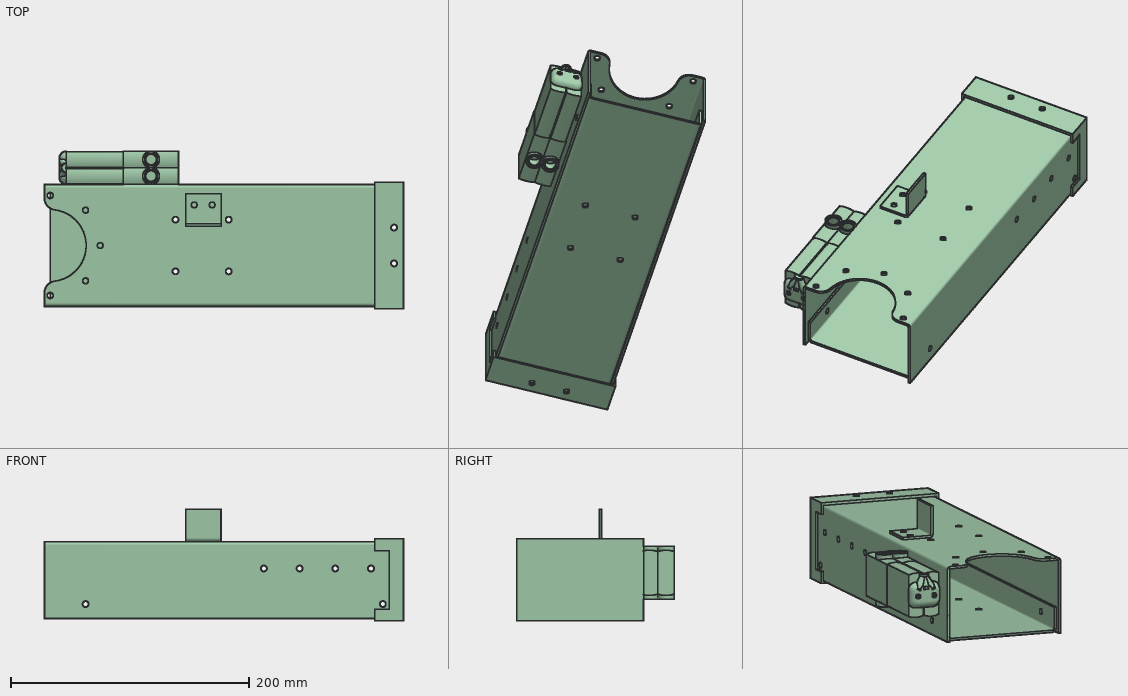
import cadquery as cq
import math


SHEET = 2.0
BEND_OUTER = 3.0
BEND_INNER = BEND_OUTER - SHEET
TRAY_BEND_OUTER = 4.0
TRAY_BEND_INNER = TRAY_BEND_OUTER - SHEET
HOLE_DIA = 4.8

TOTAL_LENGTH = 302.0
TOTAL_WIDTH = 132.5
TOTAL_HEIGHT = 94.0

CHANNEL_WIDTH = 102.7
CAP_WIDTH = CHANNEL_WIDTH + 2 * SHEET
CAP_TOP_WALL = 2.5
CAP_DEPTH = 24.5
CAP_HEIGHT = 69.2
NOTCH_DEPTH = 12.5
NOTCH_BOTTOM = 10.0
NOTCH_TOP = 59.2
CAP_HOLE_X = 293.8
CAP_HOLE_Y = 15.0

CHANNEL_LENGTH = TOTAL_LENGTH - SHEET
CHANNEL_BOTTOM = SHEET
CHANNEL_TOP = CAP_HEIGHT - CAP_TOP_WALL
MOUTH_X = 5.0
MOUTH_RADIUS = 30.2
MOUTH_LIP_RADIUS = 10.0
MOUTH_HOLE_RADIUS = 42.0
TOP_HOLE_X = (110.2, 155.0)
TOP_HOLE_Y = 21.7
SIDE_HOLE_FIRST_X = 184.5
SIDE_HOLE_PITCH = 30.0
SIDE_HOLE_COUNT = 4
SIDE_HOLE_Z = 44.0
JOINT_HOLE_X = (34.7, 284.5)
JOINT_HOLE_Z = 14.2
MOUNT_HOLE_X = 69.0
MOUNT_HOLE_Z = 30.5

TRAY_WIDTH = CHANNEL_WIDTH - 2 * SHEET
TRAY_TOP = 23.5

BRACKET_X = 118.7
BRACKET_LENGTH = 30.0
BRACKET_Y = 16.3
BRACKET_FOOT = 27.2
BRACKET_HOLE_X = (126.0, 141.0)
BRACKET_HOLE_Y = 34.0

CONNECTOR_WALL_Y = CHANNEL_WIDTH / 2
CONNECTOR_WIDTH = (TOTAL_WIDTH - CAP_WIDTH / 2 - CONNECTOR_WALL_Y) / 2
PAIR_CENTER_Y = CONNECTOR_WALL_Y + CONNECTOR_WIDTH
PLUG_GAP = 1.0
PLUG_START = 18.5
PLUG_END = 66.5
SOCKET_END = 113.0
CONNECTOR_BOTTOM = 21.5
CONNECTOR_TOP = 59.5
CROWN = 1.2
RING_X = 89.7
RING_DIA = CONNECTOR_WIDTH
RING_BOTTOM = 18.0
RING_TOP = 62.8
BORE_DIA = 9.0
BORE_DEPTH = 9.0
BORE_CHAMFER = 1.0

NOSE_START = 12.5
NOSE_BOTTOM = 29.5
NOSE_TOP = 51.5
NOSE_ROUND = 6.3
NOSE_HOLE_SPACING = 14.5
NOSE_HOLE_DIA = 4.0
NOSE_HOLE_INNER_DIA = 1.2
NOSE_HOLE_DEPTH = 1.5
NOSE_HOLE_Z = 40.5
STEM_DIA = 6.3
COLLAR_DIA = 8.2
COLLAR_BOTTOM = 56.8
COLLAR_TOP = 58.5
STEM_FORWARD = 4.0
SPLAY_FORWARD = 3.3
SPLAY_REACH = 7.0


def box(x0, x1, y0, y1, z0, z1):
    """Box between pairs of opposite faces."""
    return cq.Workplane("XY").box(x1 - x0, y1 - y0, z1 - z0, centered=False).translate((x0, y0, z0))


def vertical_holes(points):
    """Cutters along Z through the full height of the assembly."""
    return cq.Workplane("XY").pushPoints(points).circle(HOLE_DIA / 2).extrude(TOTAL_HEIGHT)


def cross_holes(points):
    """Cutters along Y through both side walls, placed at (x, z) points."""
    return cq.Workplane("XZ").pushPoints(points).circle(HOLE_DIA / 2).extrude(CAP_WIDTH / 2, both=True)


TOP_HOLES = [(x, y) for x in TOP_HOLE_X for y in (-TOP_HOLE_Y, TOP_HOLE_Y)]
CAP_HOLES = [(CAP_HOLE_X, -CAP_HOLE_Y), (CAP_HOLE_X, CAP_HOLE_Y)]
JOINT_HOLES = [(x, JOINT_HOLE_Z) for x in JOINT_HOLE_X]


def make_channel():
    """Inverted U channel with a round mouth cut into its roof."""
    half = CHANNEL_WIDTH / 2
    outer = box(0, CHANNEL_LENGTH, -half, half, CHANNEL_BOTTOM, CHANNEL_TOP)
    outer = outer.edges("|X and >Z").fillet(BEND_OUTER)
    inside = half - SHEET
    inner = box(0, CHANNEL_LENGTH, -inside, inside, CHANNEL_BOTTOM, CHANNEL_TOP - SHEET)
    channel = outer.cut(inner.edges("|X and >Z").fillet(BEND_INNER))

    lip_center_y = math.sqrt((MOUTH_RADIUS + MOUTH_LIP_RADIUS) ** 2 - (MOUTH_LIP_RADIUS - MOUTH_X) ** 2)
    lip_diagonal = MOUTH_LIP_RADIUS * math.sqrt(0.5)
    lip_middle = (MOUTH_LIP_RADIUS - lip_diagonal, lip_center_y - lip_diagonal)
    main_share = MOUTH_RADIUS / (MOUTH_RADIUS + MOUTH_LIP_RADIUS)
    tangent = (MOUTH_X + (MOUTH_LIP_RADIUS - MOUTH_X) * main_share, lip_center_y * main_share)
    mouth = (
        cq.Workplane("XY")
        .moveTo(0, -lip_center_y)
        .threePointArc((lip_middle[0], -lip_middle[1]), (tangent[0], -tangent[1]))
        .threePointArc((MOUTH_X + MOUTH_RADIUS, 0), tangent)
        .threePointArc(lip_middle, (0, lip_center_y))
        .close()
        .extrude(CAP_HEIGHT)
    )
    channel = channel.cut(mouth)

    mouth_holes = []
    for degrees in range(-90, 91, 45):
        angle = math.radians(degrees)
        mouth_holes.append(
            (MOUTH_X + MOUTH_HOLE_RADIUS * math.cos(angle), MOUTH_HOLE_RADIUS * math.sin(angle))
        )
    side_holes = [(SIDE_HOLE_FIRST_X + i * SIDE_HOLE_PITCH, SIDE_HOLE_Z) for i in range(SIDE_HOLE_COUNT)]
    channel = channel.cut(vertical_holes(TOP_HOLES + CAP_HOLES + mouth_holes))
    channel = channel.cut(cross_holes(side_holes + JOINT_HOLES))

    mount_hole = cross_holes([(MOUNT_HOLE_X, MOUNT_HOLE_Z)])
    return channel.cut(mount_hole.intersect(box(0, CHANNEL_LENGTH, 0, half, 0, CHANNEL_TOP)))


def make_tray():
    """Shallow U tray lying between the channel walls."""
    half = TRAY_WIDTH / 2
    outer = box(MOUTH_X, CHANNEL_LENGTH, -half, half, CHANNEL_BOTTOM, TRAY_TOP)
    outer = outer.edges("|X and <Z").fillet(TRAY_BEND_OUTER)
    inside = half - SHEET
    inner = box(MOUTH_X, CHANNEL_LENGTH, -inside, inside, CHANNEL_BOTTOM + SHEET, TRAY_TOP)
    tray = outer.cut(inner.edges("|X and <Z").fillet(TRAY_BEND_INNER))
    return tray.cut(vertical_holes(TOP_HOLES + CAP_HOLES)).cut(cross_holes(JOINT_HOLES))


def make_end_cap():
    """Box closed at +X that slips over the channel end, with a notch in each side wall."""
    half = CAP_WIDTH / 2
    start = TOTAL_LENGTH - CAP_DEPTH
    cap = box(start, TOTAL_LENGTH, -half, half, 0, CAP_HEIGHT)
    inside = CHANNEL_WIDTH / 2
    cap = cap.cut(box(start, CHANNEL_LENGTH, -inside, inside, CHANNEL_BOTTOM, CHANNEL_TOP))
    cap = cap.cut(box(start, start + NOTCH_DEPTH, -half, half, NOTCH_BOTTOM, NOTCH_TOP))
    return cap.cut(vertical_holes(CAP_HOLES))


def make_bracket():
    """Folded angle: a foot on the channel roof and an upright plate along its -Y edge."""
    end = BRACKET_X + BRACKET_LENGTH
    foot_end = BRACKET_Y + BRACKET_FOOT
    outer = box(BRACKET_X, end, BRACKET_Y, foot_end, CHANNEL_TOP, TOTAL_HEIGHT)
    outer = outer.edges("|X and <Y and <Z").fillet(BEND_OUTER)
    inner = box(BRACKET_X, end, BRACKET_Y + SHEET, foot_end, CHANNEL_TOP + SHEET, TOTAL_HEIGHT)
    bracket = outer.cut(inner.edges("|X and <Y and <Z").fillet(BEND_INNER))
    return bracket.cut(vertical_holes([(x, BRACKET_HOLE_Y) for x in BRACKET_HOLE_X]))


def crowned_block(x0, x1, center_y, width):
    """Block along X whose top and bottom faces bulge slightly."""
    half = width / 2
    return (
        cq.Workplane("YZ")
        .moveTo(center_y - half, CONNECTOR_BOTTOM + CROWN)
        .threePointArc((center_y, CONNECTOR_BOTTOM), (center_y + half, CONNECTOR_BOTTOM + CROWN))
        .lineTo(center_y + half, CONNECTOR_TOP - CROWN)
        .threePointArc((center_y, CONNECTOR_TOP), (center_y - half, CONNECTOR_TOP - CROWN))
        .close()
        .extrude(x1 - x0)
        .translate((x0, 0, 0))
    )


def make_socket(center_y):
    """Rear connector half with a round port on its top and bottom."""
    port = (
        cq.Workplane("XY", origin=(RING_X, center_y, RING_BOTTOM))
        .circle(RING_DIA / 2)
        .extrude(RING_TOP - RING_BOTTOM)
    )
    socket = crowned_block(PLUG_END, SOCKET_END, center_y, CONNECTOR_WIDTH).union(port)
    socket = socket.faces(">Z").workplane(centerOption="CenterOfMass").hole(BORE_DIA, BORE_DEPTH)
    socket = socket.faces("<Z").workplane(centerOption="CenterOfMass").hole(BORE_DIA, BORE_DEPTH)
    mouth_edges = cq.selectors.RadiusNthSelector(0)
    socket = socket.faces(">Z").edges(mouth_edges).chamfer(BORE_CHAMFER)
    return socket.faces("<Z").edges(mouth_edges).chamfer(BORE_CHAMFER)


def make_plug(center_y):
    """Front connector half, slightly narrower so that a gap separates the pair."""
    return crowned_block(PLUG_START, PLUG_END, center_y, CONNECTOR_WIDTH - PLUG_GAP)


def make_nose():
    """Rounded cover over both plug ends, with a collared stem and two splayed branches."""
    y0 = PAIR_CENTER_Y - CONNECTOR_WIDTH
    y1 = PAIR_CENTER_Y + CONNECTOR_WIDTH
    nose = box(NOSE_START, PLUG_START + NOSE_ROUND, y0, y1, NOSE_BOTTOM, NOSE_TOP)
    nose = nose.edges("not >X").fillet(NOSE_ROUND)

    collar_base = cq.Vector(PLUG_START, PAIR_CENTER_Y, COLLAR_BOTTOM)
    collar = cq.Solid.makeCylinder(COLLAR_DIA / 2, COLLAR_TOP - COLLAR_BOTTOM, collar_base)
    nose = nose.union(cq.Workplane(collar))
    feet = [(STEM_FORWARD, 0), (SPLAY_FORWARD, -SPLAY_REACH), (SPLAY_FORWARD, SPLAY_REACH)]
    for forward, sideways in feet:
        foot = cq.Vector(PLUG_START - forward, PAIR_CENTER_Y + sideways, NOSE_TOP - NOSE_ROUND)
        axis = collar_base - foot
        stem = cq.Solid.makeCylinder(STEM_DIA / 2, axis.Length, foot, axis)
        nose = nose.union(cq.Workplane(stem))
    nose = nose.intersect(box(NOSE_START, PLUG_START, y0, y1, NOSE_BOTTOM, COLLAR_TOP))

    hole_plane = cq.Workplane("YZ", origin=(NOSE_START, PAIR_CENTER_Y, NOSE_HOLE_Z))
    holes = hole_plane.pushPoints([(-NOSE_HOLE_SPACING / 2, 0), (NOSE_HOLE_SPACING / 2, 0)])
    nose = nose.cut(holes.circle(NOSE_HOLE_DIA / 2).extrude(NOSE_HOLE_DEPTH))
    return nose.cut(holes.circle(NOSE_HOLE_INNER_DIA / 2).extrude(PLUG_START - NOSE_START))


channel = make_channel()
tray = make_tray()
end_cap = make_end_cap()
bracket = make_bracket()
nose = make_nose()

plugs = []
sockets = []
for side in (-1, 1):
    center_y = PAIR_CENTER_Y + side * CONNECTOR_WIDTH / 2
    plugs.append(make_plug(center_y).val())
    sockets.append(make_socket(center_y).val())

result = cq.Compound.makeCompound(
    [channel.val(), tray.val(), end_cap.val(), bracket.val(), nose.val(), *plugs, *sockets]
)